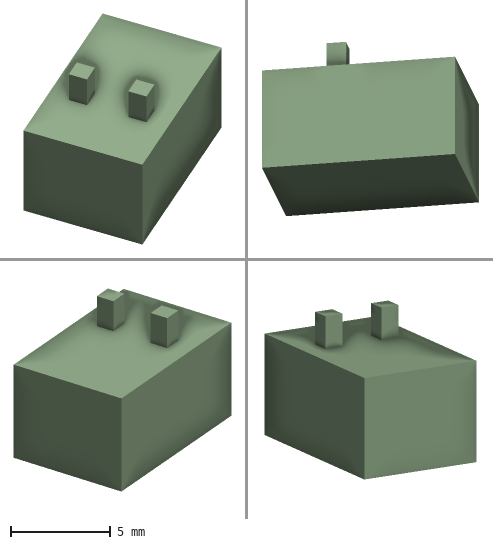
import cadquery as cq

body_width = 6.54
body_length = 9.9
total_height = 7.0
lever_height = 1.7
body_height = total_height - lever_height

lever_count = 2
lever_side = 1.0
lever_pitch = body_width / lever_count
lever_row_y = -1.36


def make_body():
    return cq.Workplane("XY").box(body_width, body_length, body_height, centered=(True, True, False))


def add_levers(body):
    return (
        body.faces(">Z")
        .workplane(origin=(0, lever_row_y, body_height))
        .rarray(lever_pitch, 0.1, lever_count, 1)
        .rect(lever_side, lever_side)
        .extrude(lever_height)
    )


result = add_levers(make_body())